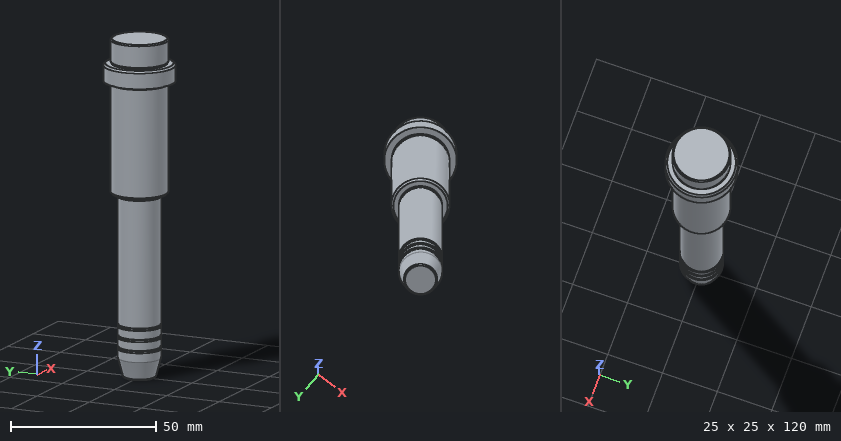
import cadquery as cq

length = 120.0
collar_radius = 25.0 / 2
body_radius = 20.0 / 2
shank_radius = 15.0 / 2

collar_top = 111.2
collar_bottom = 105.0
body_bottom = 65.0

head_chamfer = 0.5
collar_chamfer = 0.7
body_end_chamfer = 0.7

relief_depth = 0.4
head_relief_width = 0.7
body_relief_width = 1.0
shank_relief_width = 1.0

groove_count = 3
groove_width = 1.0
groove_depth = 0.4
groove_pitch = 4.0
top_groove_base = 18.0

taper_height = 7.0
tip_radius = 5.8
tip_chamfer = 0.5


def cylinder(radius, bottom, top):
    return cq.Workplane("XY").workplane(offset=bottom).circle(radius).extrude(top - bottom)


def ring_groove(radius, depth, bottom, width):
    """Ring cutter with a flat lower wall, a straight floor and a 45 degree upper wall."""
    floor_radius = radius - depth
    top = bottom + width
    return (
        cq.Workplane("XZ")
        .moveTo(radius, bottom)
        .lineTo(floor_radius, bottom)
        .lineTo(floor_radius, top - depth)
        .lineTo(radius, top)
        .close()
        .revolve(360, (0, 0, 0), (0, 1, 0))
    )


head = cylinder(body_radius, collar_top, length).faces(">Z").chamfer(head_chamfer)
collar = cylinder(collar_radius, collar_bottom, collar_top).faces(">Z").chamfer(collar_chamfer)
body = cylinder(body_radius, body_bottom, collar_bottom).faces("<Z").chamfer(body_end_chamfer)
shank = cylinder(shank_radius, taper_height, body_bottom)

tip = (
    cq.Workplane("XZ")
    .moveTo(0, 0)
    .lineTo(tip_radius - tip_chamfer, 0)
    .lineTo(tip_radius, tip_chamfer)
    .lineTo(shank_radius, taper_height)
    .lineTo(0, taper_height)
    .close()
    .revolve(360, (0, 0, 0), (0, 1, 0))
)

result = head.union(collar).union(body).union(shank).union(tip)

reliefs = [
    (body_radius, collar_top, head_relief_width),
    (body_radius, collar_bottom - body_relief_width, body_relief_width),
    (shank_radius, body_bottom - shank_relief_width, shank_relief_width),
]
for radius, bottom, width in reliefs:
    result = result.cut(ring_groove(radius, relief_depth, bottom, width))

for index in range(groove_count):
    bottom = top_groove_base - index * groove_pitch
    result = result.cut(ring_groove(shank_radius, groove_depth, bottom, groove_width))